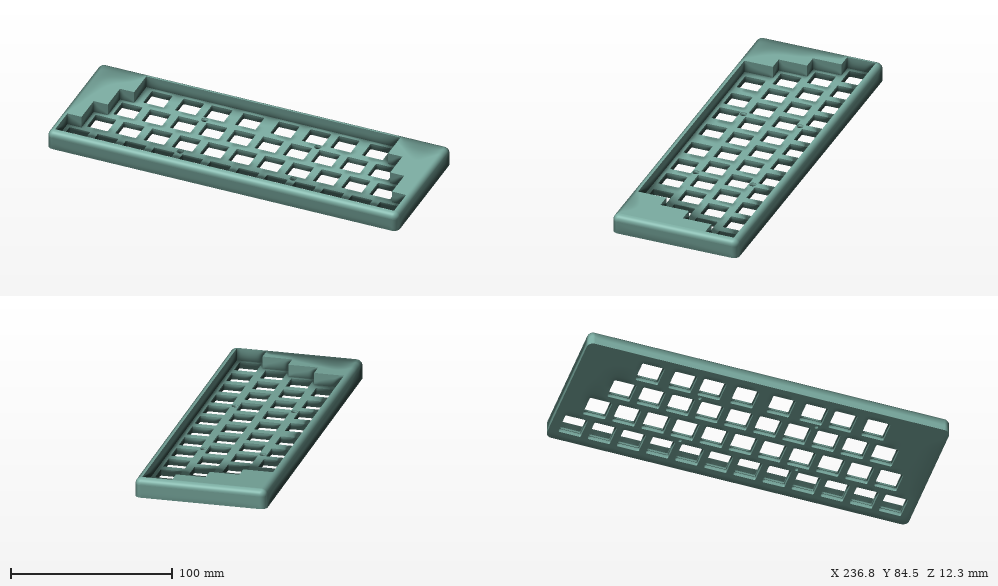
import cadquery as cq

length = 236.8
width = 84.5
height = 12.3
edge_radius = 4.0
top_land = 0.1
rim = edge_radius + top_land

wide_key = 1.25
half_back_row = [wide_key, 1, 1, wide_key]
key_rows = [half_back_row * 2, [1] * 10, [1] * 11, [1] * 12]
row_count = len(key_rows)
key_pitch = (length - 2 * rim) / sum(key_rows[-1])

switch_opening = 14.0
switch_corner_radius = 0.5
clip_lip_thickness = 1.5
clip_relief = 0.35
relief_opening = switch_opening + 2 * clip_relief
relief_corner_radius = 1.0
relief_depth = 2.8

plate_thickness = clip_lip_thickness + relief_depth

screw_hole_diameter = 2.4
screw_recess_diameter = 4.5
screw_recess_depth = 0.5
countersink_diameter = 4.0
countersink_depth = 1.2
screw_spacing_x = 4 * key_pitch
screw_spacing_y = 2 * key_pitch


def row_center_y(row):
    """Y of the middle of a key row; row 0 is at the back."""
    return ((row_count - 1) / 2 - row) * key_pitch


def key_centers():
    """Middle of every key, each row being centred on the case."""
    centers = []
    for row, key_widths in enumerate(key_rows):
        left_edge = -sum(key_widths) / 2
        for key_width in key_widths:
            centers.append(((left_edge + key_width / 2) * key_pitch, row_center_y(row)))
            left_edge += key_width
    return centers


def case_block():
    """Solid block with rounded upright corners and a rounded top edge."""
    block = cq.Workplane("XY").box(length, width, height, centered=(True, True, False))
    return block.edges("|Z").fillet(edge_radius).faces(">Z").edges().fillet(edge_radius)


def key_pocket():
    """Stepped pocket: one box per row, as wide as the keys of that row."""
    pocket = cq.Workplane("XY")
    for row, key_widths in enumerate(key_rows):
        row_box = (
            cq.Workplane("XY", origin=(0, row_center_y(row), plate_thickness))
            .rect(sum(key_widths) * key_pitch, key_pitch)
            .extrude(height - plate_thickness)
        )
        pocket = pocket.add(row_box)
    return pocket.combine()


def square_prisms(size, corner_radius, depth):
    """Round-cornered square prisms standing on the underside, one under each key."""
    prisms = cq.Workplane("XY").pushPoints(key_centers()).rect(size, size).extrude(depth)
    return prisms.edges("|Z").fillet(corner_radius)


def switch_openings():
    """Openings through the plate, slightly wider below the clip lip."""
    openings = square_prisms(switch_opening, switch_corner_radius, plate_thickness)
    reliefs = square_prisms(relief_opening, relief_corner_radius, relief_depth)
    return openings.union(reliefs)


def screw_holes():
    """Four countersunk holes on the joints between rows, two keys from the middle."""
    recess_floor = plate_thickness - screw_recess_depth
    shank = cq.Workplane("XY").circle(screw_hole_diameter / 2).extrude(plate_thickness)
    countersink = (
        cq.Workplane("XY", origin=(0, 0, recess_floor - countersink_depth))
        .circle(screw_hole_diameter / 2)
        .workplane(offset=countersink_depth)
        .circle(countersink_diameter / 2)
        .loft()
    )
    recess = (
        cq.Workplane("XY", origin=(0, 0, recess_floor))
        .circle(screw_recess_diameter / 2)
        .extrude(screw_recess_depth)
    )
    hole = shank.union(countersink).union(recess).val()
    places = cq.Workplane("XY").rarray(screw_spacing_x, screw_spacing_y, 2, 2)
    return places.eachpoint(lambda place: hole.moved(place), combine="a")


result = case_block().cut(key_pocket()).cut(switch_openings()).cut(screw_holes())